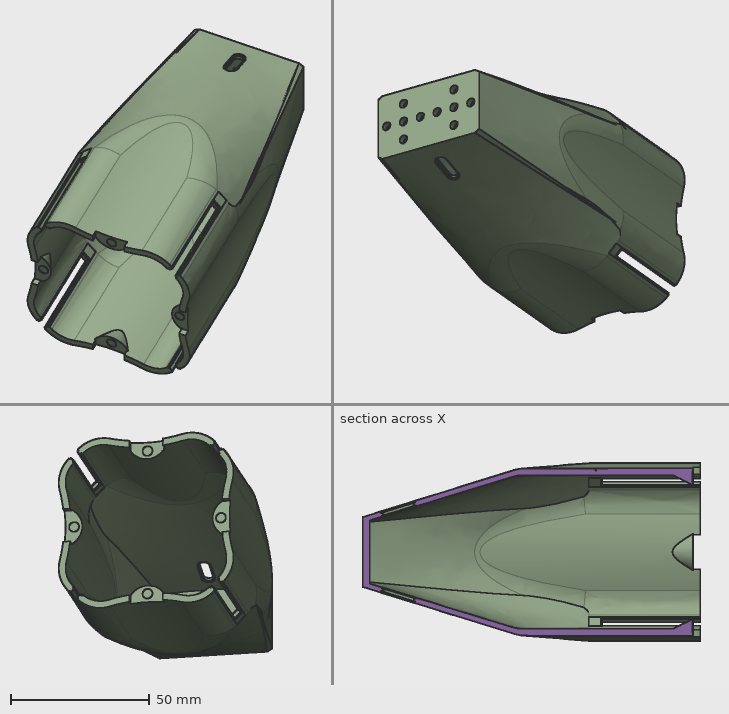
import cadquery as cq
import math

length = 121.9
wall = 2.5
end_wall = 2.5

barrel_radius = 38.0
upper_barrel_length = 40.2
side_barrel_length = 42.3
end_half_width = 21.6
end_half_height = 12.7
corner_bevel_x = 1.8
corner_bevel_z = 1.1
bevel_fade = 0.05
corner_angle = 32.0
edge_overshoot = 11.0
side_bulge = 1.2
cavity_half_width = 19.3
cavity_half_height = 10.6

groove_radius = 54.9
groove_floor = 30.2
groove_length = 91.5
lobe_radius = 12.5
groove_rim = cq.selectors.BoxSelector((-22, -1.2, -48.8), (22, 73.2, 48.8))

slot_angle = 45.0
slot_width = 3.2
slot_length = 35.4
recess_width = 4.5
recess_length = 36.0
recess_depth = 0.5
flat_depth = 0.1

notch_width = 12.4
notch_depth = 2.5
boss_radius = 7.4
boss_taper = 26.0
boss_length = 8.7
boss_center = 31.5
screw_center = 27.1
screw_diameter = 3.7
screw_depth = 0.2

hole_diameter = 3.2
hole_pitch = 7.2

strap_center = 109.4
strap_length = 11.5
strap_width = 3.7
strap_recess_margin = 1.3
strap_recess_depth = 0.6
strap_wall = 2.3


def around_axis(shape, start_angle=0.0):
    """Four copies of a shape, a quarter turn apart about the Y axis."""
    copies = cq.Workplane(shape.val().rotate((0, 0, 0), (0, 1, 0), start_angle))
    for turn in (90, 180, 270):
        copies = copies.add(shape.val().rotate((0, 0, 0), (0, 1, 0), start_angle + turn))
    return copies.combine()


def curved_pair(inset, barrel_length, end_half_width, end_half_height, edge_angle):
    """The upper and lower sides of the housing, as a solid that overshoots the other two sides.

    Each side is an arc at the barrel that flattens into a straight line at the far end. Its
    neighbours cut it edge_angle from the middle, and it runs on by a fixed overshoot.
    """
    radius = barrel_radius - inset
    half_angle = edge_angle + edge_overshoot
    half_span = end_half_width * half_angle / edge_angle

    def barrel_point(angle, distance=radius):
        turn = math.radians(angle)
        return (distance * math.sin(turn), distance * math.cos(turn))

    def barrel_section(plane):
        return (
            plane.moveTo(*barrel_point(-half_angle))
            .threePointArc(barrel_point(0), barrel_point(half_angle))
            .threePointArc(barrel_point(90, side_bulge * radius), barrel_point(180 - half_angle))
            .threePointArc(barrel_point(180), barrel_point(180 + half_angle))
            .threePointArc(barrel_point(270, side_bulge * radius), barrel_point(-half_angle))
            .close()
        )

    barrel = barrel_section(cq.Workplane("XZ")).extrude(-barrel_length)
    taper = (
        barrel_section(cq.Workplane("XZ", origin=(0, barrel_length, 0)))
        .workplane(offset=barrel_length - length)
        .rect(2 * half_span, 2 * end_half_height)
        .loft(ruled=True)
    )
    groove = (
        cq.Workplane("XZ").pushPoints([(0, groove_floor + groove_radius), (0, -groove_floor - groove_radius)])
        .circle(groove_radius + inset).extrude(-groove_length)
    )
    grooved = barrel.union(taper).cut(groove)
    groove_edges = grooved.edges("|Y or %BSPLINE").edges(groove_rim)
    return groove_edges.fillet(lobe_radius - inset)


def lobed_body(inset, half_width, half_height):
    """The closed lobed shape bounded by two pairs of curved sides, a quarter turn apart."""
    upper_and_lower = curved_pair(inset, upper_barrel_length, half_width, half_height, 90 - corner_angle)
    left_and_right = curved_pair(inset, side_barrel_length, half_height, half_width, corner_angle)
    return upper_and_lower.intersect(left_and_right.rotate((0, 0, 0), (0, 1, 0), 90))


def corner_bevels():
    """Slivers that bevel the four corners at the far end and shrink to almost nothing at the barrel."""
    barrel_corner = (
        barrel_radius * math.cos(math.radians(corner_angle)),
        barrel_radius * math.sin(math.radians(corner_angle)),
    )

    def sliver(plane, corner, size):
        x, z = corner
        leg_x = corner_bevel_x * size
        leg_z = corner_bevel_z * size
        return plane.polyline([(x - leg_x, z), (x + leg_x, z + 2 * leg_z),
                               (x + 2 * leg_x, z + leg_z), (x, z - leg_z)]).close()

    bevel = sliver(cq.Workplane("XZ", origin=(0, upper_barrel_length, 0)), barrel_corner, bevel_fade)
    bevel = bevel.workplane(offset=upper_barrel_length - length)
    bevel = sliver(bevel, (end_half_width, end_half_height), 1).loft(ruled=True)
    right_pair = bevel.union(bevel.mirror("XY"))
    return right_pair.union(right_pair.mirror("YZ"))


def rail_box(width, depth_range, run):
    """A box from the mouth along Y, between two distances from the part's axis."""
    inner, outer = depth_range
    return (
        cq.Workplane("XY", origin=(0, 0, inner))
        .box(width, run, outer - inner, centered=(True, False, False))
    )


def rail_slots():
    """Radial slots through the lobes, recessed and flattened at both faces of the wall."""
    inner_face = barrel_radius - wall
    below = inner_face - wall
    above = barrel_radius + wall
    slot = rail_box(slot_width, (below, above), slot_length)
    for depth, run in ((recess_depth, recess_length), (flat_depth, upper_barrel_length)):
        slot = slot.union(rail_box(recess_width, (barrel_radius - depth, above), run))
        slot = slot.union(rail_box(recess_width, (below, inner_face + depth), run))
    return around_axis(slot, slot_angle)


def rim_notches():
    """Notches in the rim at the middle of each groove."""
    depth = barrel_radius
    return around_axis(
        cq.Workplane("XY").box(notch_width, notch_depth, depth, centered=(True, False, False))
    )


def boss():
    """A tapered boss that dies into the floor of a groove."""
    return (
        cq.Workplane("XZ", origin=(0, notch_depth, 0)).center(0, boss_center)
        .circle(boss_radius).extrude(-boss_length, taper=boss_taper)
    )


def screw_hole():
    """A shallow round mark in the face of a boss."""
    return (
        cq.Workplane("XZ", origin=(0, notch_depth, 0)).center(0, screw_center)
        .circle(screw_diameter / 2).extrude(-screw_depth)
    )


def end_holes():
    """A row of six holes, with one more above and below its second and fifth holes."""
    row = [((i - 2.5) * hole_pitch, 0) for i in range(6)]
    outliers = [(side * 1.5 * hole_pitch, level * hole_pitch) for side in (-1, 1) for level in (-1, 1)]
    return (
        cq.Workplane("XZ", origin=(0, length, 0)).pushPoints(row + outliers)
        .circle(hole_diameter / 2).extrude(2 * wall)
    )


def strap_slots():
    """Slots square to the sloping upper and lower walls, recessed on both faces of the wall."""
    slope = (barrel_radius - end_half_height) / (length - upper_barrel_length)
    tilt = math.degrees(math.atan(slope))
    surface_height = end_half_height + slope * (length - strap_center)
    surface = cq.Workplane("XY").transformed(rotate=(-tilt, 0, 0), offset=(0, strap_center, surface_height))

    def cutter(margin, bottom, top):
        base = cq.Workplane(surface.plane).workplane(offset=bottom)
        return base.slot2D(strap_length + margin, strap_width + margin, 90).extrude(top - bottom)

    slot = cutter(0, -2 * wall, wall)
    slot = slot.union(cutter(strap_recess_margin, -strap_recess_depth, wall))
    slot = slot.union(cutter(strap_recess_margin, -2 * wall, strap_recess_depth - strap_wall))
    return slot.union(slot.mirror("XY"))


outer = lobed_body(0, end_half_width, end_half_height).cut(corner_bevels())
room = cq.Workplane("XY").box(
    2 * barrel_radius, length - end_wall, 2 * barrel_radius, centered=(True, False, True)
)
cavity = lobed_body(wall, cavity_half_width, cavity_half_height).intersect(room)

result = outer.cut(cavity).union(around_axis(boss()).intersect(outer))
result = result.cut(rim_notches()).cut(around_axis(screw_hole()))
result = result.cut(rail_slots()).cut(end_holes()).cut(strap_slots())